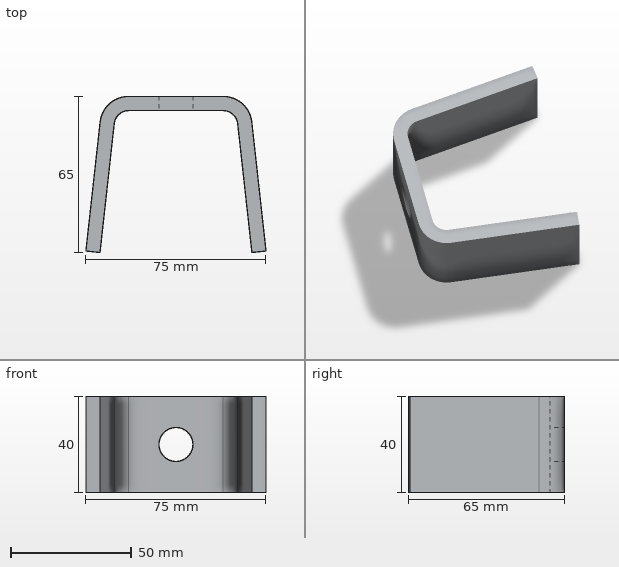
import cadquery as cq
import math

width = 75.0
depth = 65.0
height = 40.0
thickness = 6.0
inner_radius = 6.0
splay_angle = 6.3
hole_diameter = 14.0

outer_radius = inner_radius + thickness
sin_splay = math.sin(math.radians(splay_angle))
cos_splay = math.cos(math.radians(splay_angle))
back_y = depth / 2
bend_y = back_y - outer_radius
leg_length = (depth - outer_radius + inner_radius * sin_splay) / cos_splay
bend_x = width / 2 - outer_radius * cos_splay - leg_length * sin_splay


def bend_point(radius, angle, side):
    """Point on a bend arc; side is +1 for the right bend, -1 for the left."""
    a = math.radians(angle)
    return (side * (bend_x + radius * math.cos(a)), bend_y + radius * math.sin(a))


def leg_tip(radius, side):
    """End of the leg face that is tangent to the bend of this radius."""
    x, y = bend_point(radius, splay_angle, side)
    return (x + side * leg_length * sin_splay, y - leg_length * cos_splay)


mid_angle = (90 + splay_angle) / 2


def bracket():
    """Constant-thickness channel with two splayed legs."""
    return (
        cq.Workplane("XY")
        .workplane(offset=-height / 2)
        .moveTo(*leg_tip(outer_radius, -1))
        .lineTo(*bend_point(outer_radius, splay_angle, -1))
        .threePointArc(bend_point(outer_radius, mid_angle, -1), bend_point(outer_radius, 90, -1))
        .lineTo(*bend_point(outer_radius, 90, 1))
        .threePointArc(bend_point(outer_radius, mid_angle, 1), bend_point(outer_radius, splay_angle, 1))
        .lineTo(*leg_tip(outer_radius, 1))
        .lineTo(*leg_tip(inner_radius, 1))
        .lineTo(*bend_point(inner_radius, splay_angle, 1))
        .threePointArc(bend_point(inner_radius, mid_angle, 1), bend_point(inner_radius, 90, 1))
        .lineTo(*bend_point(inner_radius, 90, -1))
        .threePointArc(bend_point(inner_radius, mid_angle, -1), bend_point(inner_radius, splay_angle, -1))
        .lineTo(*leg_tip(inner_radius, -1))
        .close()
        .extrude(height)
    )


def web_hole():
    """Cutter for the round hole through the middle of the web."""
    return (
        cq.Workplane("XZ", origin=(0, back_y, 0))
        .circle(hole_diameter / 2)
        .extrude(thickness)
    )


result = bracket().cut(web_hole())